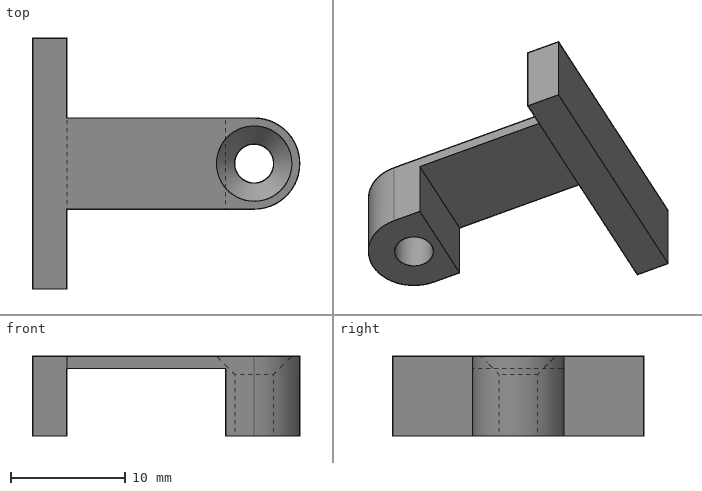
import cadquery as cq

length = 23.4
width = 22.0
height = 7.0

bar_thickness = 3.0
arm_width = 8.0
arm_thickness = 1.1
gap_length = 13.9

hole_diameter = 3.4
countersink_diameter = 6.6
countersink_angle = 90

end_radius = arm_width / 2
end_center_x = length - end_radius


def make_crossbar():
    """Rectangular bar across the near end, standing on Z = 0."""
    return cq.Workplane("XY").box(bar_thickness, width, height, centered=(False, True, False))


def make_arm():
    """Full-height arm with a semicircular far end."""
    return (
        cq.Workplane("XY")
        .moveTo(0, -end_radius)
        .lineTo(end_center_x, -end_radius)
        .threePointArc((length, 0), (end_center_x, end_radius))
        .lineTo(0, end_radius)
        .close()
        .extrude(height)
    )


def make_gap():
    """Space under the arm, leaving a thin bridge between crossbar and foot."""
    return (
        cq.Workplane("XY")
        .box(gap_length, arm_width, height - arm_thickness, centered=(False, True, False))
        .translate((bar_thickness, 0, 0))
    )


body = make_crossbar().union(make_arm().cut(make_gap()))

result = (
    body.faces(">Z")
    .workplane(origin=(end_center_x, 0, height))
    .cskHole(hole_diameter, countersink_diameter, countersink_angle)
)